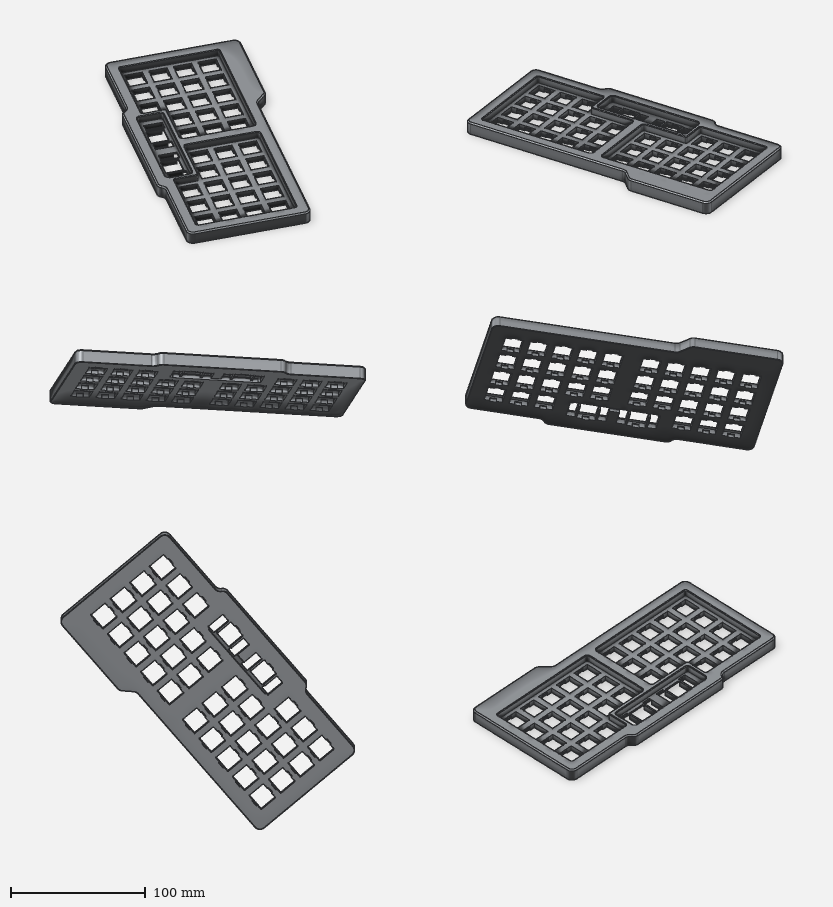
import cadquery as cq
import math

length = 219.5
width = 109.5
height = 10.0
corner_radius = 5.0
top_chamfer = 1.0
bottom_chamfer = 0.5
right_x = length / 2
back_y = width / 2
front_y = -width / 2

shoulder_depth = 9.0
shoulder_end_x = -39.7
right_back_y = back_y - shoulder_depth

bulge_depth = 4.8
bulge_half_width = 44.3
bulge_radius = 4.8
side_front_y = front_y + bulge_depth

columns = 5
rows = 4
thumb_columns = 2
column_span = 76.2
key_pitch = column_span / (columns - 1)
key_web = 5.0
key_size = key_pitch - key_web
block_centre_x = 52.5
block_centre_y = -2.1
inner_column_x = block_centre_x - column_span / 2
outer_column_x = block_centre_x + column_span / 2
back_row_y = block_centre_y + key_pitch * (rows - 1) / 2
front_row_y = block_centre_y - key_pitch * (rows - 1) / 2

pocket_depth = 5.7
pocket_chamfer = 0.61
pocket_clearance = 0.7
outer_pocket_radius = 1.5
inner_pocket_radius = 2.5
floor_z = height - pocket_depth

thumb_pocket_half_width = 38.9
thumb_pocket_back_y = -25.5
thumb_pocket_front_y = -45.9
thumb_back_radius = 2.2
thumb_front_radius = 3.0

thumb_key_y = -35.3
thumb_keys = [(-key_pitch, thumb_key_y), (key_pitch, thumb_key_y)]
slot_offset_x = 11.9
slot_y = -34.2
slot_width = 6.8
slot_length = 14.5

retained_plate = 1.5
relief_height = floor_z - retained_plate
clip_width = 5.0
clip_depth = 0.9
channel_half_length = 32.3
channel_front_y = -29.6
channel_back_y = -26.0


def fillet_upright_edge(solid, x, y, z, radius):
    """Round the upright edge closest to a point."""
    nearest = cq.selectors.NearestToPointSelector((x, y, z))
    return solid.edges("|Z").edges(nearest).fillet(radius)


def case_outline():
    """Closed case profile; only the arcs of the thumb bulge are rounded here."""
    arc_angle = math.acos(1 - bulge_depth / 2 / bulge_radius)
    half_run = bulge_radius * math.sin(arc_angle)
    mid_x = bulge_half_width + half_run
    root_x = mid_x + half_run
    mid_y = front_y + bulge_depth / 2
    step_x = bulge_radius * math.sin(arc_angle / 2)
    step_y = bulge_radius * (1 - math.cos(arc_angle / 2))
    return (
        cq.Workplane("XY")
        .moveTo(-right_x, side_front_y)
        .lineTo(-root_x, side_front_y)
        .threePointArc((-root_x + step_x, side_front_y - step_y), (-mid_x, mid_y))
        .threePointArc((-bulge_half_width - step_x, front_y + step_y), (-bulge_half_width, front_y))
        .lineTo(bulge_half_width, front_y)
        .threePointArc((bulge_half_width + step_x, front_y + step_y), (mid_x, mid_y))
        .threePointArc((root_x - step_x, side_front_y - step_y), (root_x, side_front_y))
        .lineTo(right_x, side_front_y)
        .lineTo(right_x, right_back_y)
        .lineTo(shoulder_end_x + shoulder_depth, right_back_y)
        .lineTo(shoulder_end_x, back_y)
        .lineTo(-right_x, back_y)
        .close()
    )


def case_body():
    """Solid case with rounded corners and chamfered top and bottom rims."""
    body = case_outline().extrude(height)
    corners = [
        (-right_x, side_front_y),
        (right_x, side_front_y),
        (right_x, right_back_y),
        (shoulder_end_x + shoulder_depth, right_back_y),
        (shoulder_end_x, back_y),
        (-right_x, back_y),
    ]
    for x, y in corners:
        body = fillet_upright_edge(body, x, y, height / 2, corner_radius)
    body = body.faces(">Z").chamfer(top_chamfer)
    return body.faces("<Z").chamfer(bottom_chamfer)


def pocket_volume(corners):
    """Pocket above the plate from (x, y, radius) corners, flared at its rim."""
    points = [(x, y) for x, y, _ in corners]
    pocket = cq.Workplane("XY").workplane(offset=floor_z).polyline(points).close().extrude(pocket_depth)
    for x, y, radius in corners:
        pocket = fillet_upright_edge(pocket, x, y, floor_z + pocket_depth / 2, radius)
    rim = pocket.faces(">Z").wires().val().offset2D(pocket_chamfer)[0]
    flare = cq.Workplane(rim).toPending().extrude(-pocket_chamfer, taper=45)
    return pocket.union(flare)


def right_key_pocket():
    """Pocket around the right-hand keys, notched to clear the thumb cluster."""
    margin = key_pitch / 2 + pocket_clearance
    inner_x = inner_column_x - margin
    outer_x = outer_column_x + margin
    notch_x = inner_column_x + thumb_columns * key_pitch - margin
    pocket_back_y = back_row_y + margin
    pocket_front_y = front_row_y - margin
    notch_y = front_row_y + key_pitch - margin
    return pocket_volume([
        (inner_x, pocket_back_y, inner_pocket_radius),
        (outer_x, pocket_back_y, outer_pocket_radius),
        (outer_x, pocket_front_y, outer_pocket_radius),
        (notch_x, pocket_front_y, outer_pocket_radius),
        (notch_x, notch_y, outer_pocket_radius),
        (inner_x, notch_y, inner_pocket_radius),
    ])


def thumb_pocket():
    return pocket_volume([
        (-thumb_pocket_half_width, thumb_pocket_back_y, thumb_back_radius),
        (thumb_pocket_half_width, thumb_pocket_back_y, thumb_back_radius),
        (thumb_pocket_half_width, thumb_pocket_front_y, thumb_front_radius),
        (-thumb_pocket_half_width, thumb_pocket_front_y, thumb_front_radius),
    ])


def grid_keys():
    """Key centres of both hands; the thumb cluster replaces the inner front keys."""
    centres = []
    for row in range(rows):
        first_column = thumb_columns if row == rows - 1 else 0
        for column in range(first_column, columns):
            x = inner_column_x + column * key_pitch
            y = back_row_y - row * key_pitch
            centres += [(x, y), (-x, y)]
    return centres


def key_openings(centres):
    """Square openings with clip notches under their back and front edges."""
    base = cq.Workplane("XY").pushPoints(centres)
    squares = base.rect(key_size, key_size).extrude(floor_z)
    notches = base.rect(clip_width, key_size + 2 * clip_depth).extrude(relief_height)
    return squares.union(notches)


def stabiliser_slots():
    centres = [(x + side * slot_offset_x, slot_y) for x, _ in thumb_keys for side in (-1, 1)]
    return cq.Workplane("XY").pushPoints(centres).rect(slot_width, slot_length).extrude(floor_z)


def wire_channel():
    """Underside groove linking the back ends of the thumb openings."""
    return (
        cq.Workplane("XY")
        .center(0, (channel_front_y + channel_back_y) / 2)
        .rect(2 * channel_half_length, channel_back_y - channel_front_y)
        .extrude(relief_height)
    )


key_pocket = right_key_pocket()

result = (
    case_body()
    .cut(key_pocket)
    .cut(key_pocket.mirror("YZ"))
    .cut(thumb_pocket())
    .cut(key_openings(grid_keys() + thumb_keys))
    .cut(stabiliser_slots())
    .cut(wire_channel())
)